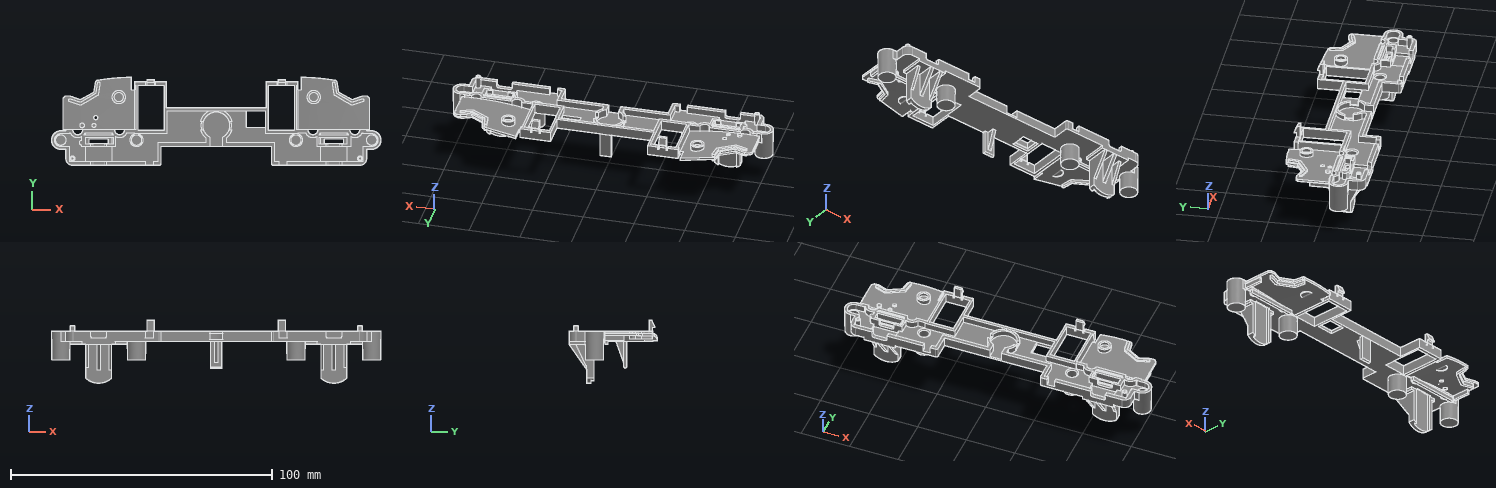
import cadquery as cq

length = 126.14
front_y = -16.91
back_y = 16.91
wall_top = 4.0
floor_top = 1.33
clip_top = 8.2
height = 24.15
tongue_bottom = clip_top - height

beam_front = -9.7
beam_back = 5.2
beam_front_wall = 1.5
beam_back_wall = 1.2

ring_y = -1.6
ring_outer_r = 6.2
ring_inner_r = 5.15
ring_back_top = 3.2
ring_recess_top = 0.85
ring_kerb_r = 5.8
ring_kerb_top = 1.9
ring_gap = (-3.3, 0.0)
neck_half_width = 2.4
neck_wall = 1.6
neck_back = -5.9

beam_window_x = (11.55, 18.75)
beam_window_y = (-2.3, 3.9)

leg_width = 4.4
leg_y = (3.9, 5.25)
leg_bottom = -10.2
leg_tip = 0.5
leg_rib_width = 1.4
leg_rib_front = 1.0
leg_rib_bottom = -8.1

frame_x = (18.8, 31.2)
frame_back_x = (19.1, 31.2)
frame_y = (-4.7, 15.15)
frame_lean = 0.5
frame_window_x = (19.95, 29.9)
frame_window_y = (-3.35, 13.6)

clip_x = (23.65, 26.5)
clip_y = (13.75, 15.1)
clip_barb_y = 15.95
clip_barb_land = 0.3
clip_barb_z = 5.35
clip_tip_y = 14.8
slit_width = 0.5
slit_depth = 1.0

platform_x = (21.1, 57.6)
platform_back = -3.25
side_wall_inner = 1.25
side_wall_outer = 1.55
front_wall = 1.55
back_wall = 1.2
inner_corner = 0.8
outer_corner = 2.7

boss_y = -7.2
boss_r = 3.6
boss_taper = 0.7
boss_bottom = -7.1
end_boss_x = length / 2 - boss_r
end_pocket_r = 2.45
inner_boss_x = 30.5
screw_hole_r = 2.0
screw_hole_bottom = -5.0
screw_hole_mouth_r = 2.5

pin_x = 55.0
pin_y = -14.25
pin_r = 0.95
pin_top = 6.25
pin_chamfer = 0.3

scallop_x = (37.0, 53.0)
scallop_r = 1.85
scallop_wall = 1.2

tongue_x = 45.0
recess_width = 10.1
recess_floor = 0.1
skirt_width = 12.8
skirt_bottom = -1.1
rail_x = (34.0, 56.0)
rail_y = (-3.25, -2.0)
rail_top = 0.5
socket_width = 13.0
socket_y = (-9.75, -5.2)
socket_pocket_width = 10.2
socket_pocket_y = (-8.75, -6.2)
socket_ledge_x = (39.25, 40.1)
socket_ledge_top = 3.6
socket_bridge_top = 3.5
socket_slot_width = 7.3
socket_slot_y = (-8.45, -6.8)
notch_width = 6.1
notch_corner = 0.9
small_notch_x = (24.1, 27.1)

tongue_width = 10.0
tongue_y = (-10.15, -7.3)
tongue_side_bottom = -14.0
gusset_bottom = -10.8
gusset_width = 1.4
side_gusset_width = 1.1
outer_gusset_front = -14.3
outer_gusset_bottom = -9.9

wing_x = (31.0, 58.7)
wing_bend_x = 46.0
wing_bend_drop = 0.1
wing_high = 3.15
wing_low = 1.2
wing_low_underside = 0.0
wing_thickness = 0.9
wing_skirt_back = 4.2
wing_skirt_bottom = 0.5
wing_skirt_wall = 1.0
wing_skirt_inset = 0.3
wing_step = (32.45, 12.0)
wing_back_arc_middle = (39.5, 16.5)
wing_back_arc_end = (45.6, 15.7)
wing_notch = [(46.2, 15.2), (46.9, 11.1), (52.0, 8.3), (56.0, 9.7), (57.8, 9.7)]
wing_outer_corner_y = 8.8
wing_rib_path = [(56.0, 8.05), (51.9, 6.7), (45.55, 10.4), (44.95, 14.5)]
wing_rib_width = 1.05
wing_rib_z = (1.0, 3.8)
wing_ring_x = 37.3
wing_ring_y = 9.25
wing_ring_r = 2.55
wing_ring_hole_r = 1.75
wing_ring_floor = 2.6

through_hole_centre = (-46.1, 1.4)
blind_hole_centre = (-46.8, -1.6)
small_hole_r = 0.75
blind_hole_depth = 0.5
nub_centre = (-51.3, -1.6)
nub_r = 0.9
nub_top = 3.8
socket_nub_centre = (-51.5, -8.2)

EPS = 0.01
CLEAR = 1.0


def box(x_range, y_range, z_range):
    """Axis-aligned block between three pairs of limits."""
    return (
        cq.Workplane("XY")
        .box(
            x_range[1] - x_range[0],
            y_range[1] - y_range[0],
            z_range[1] - z_range[0],
            centered=False,
        )
        .translate((x_range[0], y_range[0], z_range[0]))
    )


def cylinder(centre, radius, z_range):
    """Upright cylinder between two heights."""
    return (
        cq.Workplane("XY", origin=(centre[0], centre[1], z_range[0]))
        .circle(radius)
        .extrude(z_range[1] - z_range[0])
    )


def span(centre, width):
    """Pair of limits that are symmetric about a centre."""
    return (centre - width / 2, centre + width / 2)


def side_profile(points, x_range):
    """Outline in Y and Z, extruded along X."""
    return (
        cq.Workplane("YZ", origin=(x_range[0], 0, 0))
        .polyline(points)
        .close()
        .extrude(x_range[1] - x_range[0])
    )


def both_sides(shape):
    """The shape and its mirror image across X = 0."""
    return shape.union(shape.mirror("YZ"))


def beam():
    """Half of the central trough, on the +X side."""
    x_range = (0, platform_x[0] + side_wall_inner)
    back_x = (0, frame_x[0] + EPS)
    body = box(x_range, (beam_front, frame_y[0]), (0, floor_top))
    body = body.union(box(back_x, (frame_y[0], beam_back), (0, floor_top)))
    body = body.union(box(x_range, (beam_front, beam_front + beam_front_wall), (0, wall_top)))
    return body.union(box(back_x, (beam_back - beam_back_wall, beam_back), (0, wall_top)))


def add_locating_ring(part):
    """Broken ring with a sunken floor and a neck open to the front."""
    centre = (0, ring_y)
    reach = (-ring_outer_r - CLEAR, ring_outer_r + CLEAR)
    back_arc = cylinder(centre, ring_outer_r, (0, ring_back_top))
    back_arc = back_arc.intersect(box(reach, (ring_gap[1], beam_back), (0, wall_top)))
    front_arc = cylinder(centre, ring_outer_r, (0, wall_top))
    front_arc = front_arc.intersect(box(reach, (beam_front, ring_gap[0]), (0, wall_top)))
    neck_half = neck_half_width + neck_wall
    neck = box((-neck_half, neck_half), (beam_front, neck_back), (0, wall_top))
    part = part.union(back_arc).union(front_arc).union(neck)
    part = part.union(cylinder(centre, ring_kerb_r, (0, ring_kerb_top)))
    part = part.cut(cylinder(centre, ring_inner_r, (ring_recess_top, clip_top)))
    neck_gap = box(
        (-neck_half_width, neck_half_width), (beam_front - CLEAR, ring_y), (ring_recess_top, clip_top)
    )
    return part.cut(neck_gap)


def hanging_leg():
    """Leg below the beam, with a pointed tip and a sloping rib in front."""
    front, back = leg_y
    middle = (front + back) / 2
    tip_start = leg_bottom + leg_tip
    outline = [(front, 0), (back, 0), (back, tip_start), (middle, leg_bottom), (front, tip_start)]
    leg = side_profile(outline, span(0, leg_width))
    rib = [(leg_rib_front, 0), (front + EPS, 0), (front + EPS, leg_rib_bottom)]
    return leg.union(side_profile(rib, span(0, leg_rib_width)))


def frame():
    """Rectangular frame, leaning in above the wing, with its snap clip."""
    body = box(frame_x, (frame_y[0], beam_back), (0, wall_top))
    body = body.union(box(frame_back_x, (beam_back - EPS, frame_y[1]), (0, wall_top)))
    lean = [
        (frame_x[1], wing_low),
        (frame_x[1] - frame_lean, wall_top),
        (frame_x[1], wall_top),
    ]
    lean_length = frame_window_y[1] - platform_back
    leaning_face = cq.Workplane("XZ", origin=(0, frame_window_y[1], 0)).polyline(lean).close()
    body = body.cut(leaning_face.extrude(lean_length))
    slit_y = (clip_y[0] - CLEAR, frame_y[1] + CLEAR)
    slit_z = (wall_top - slit_depth, clip_top)
    for slit_start in (clip_x[0] - slit_width, clip_x[1]):
        slit_x = (slit_start, slit_start + slit_width)
        body = body.cut(box(slit_x, slit_y, slit_z))
    clip = [
        (clip_y[0], 0),
        (clip_y[1], 0),
        (clip_y[1], clip_barb_z),
        (clip_barb_y, clip_barb_z),
        (clip_barb_y, clip_barb_z + clip_barb_land),
        (clip_tip_y, clip_top),
        (clip_y[0], clip_top),
    ]
    return body.union(side_profile(clip, clip_x))


def screw_boss(x, top):
    """Boss that narrows slightly downwards."""
    sketch = cq.Workplane("XY", origin=(x, boss_y, top)).circle(boss_r)
    return sketch.extrude(boss_bottom - top, taper=boss_taper)


def platform_tray():
    """Walled tray with a screw boss at its outer end, still without its socket."""
    inner_x, outer_x = platform_x
    y_range = (front_y, platform_back)
    tray = box(platform_x, y_range, (0, wall_top))
    tray = tray.edges("|Z and <X and <Y").fillet(inner_corner)
    tray = tray.edges("|Z and >X and <Y").fillet(outer_corner)
    cavity = box(
        (inner_x + side_wall_inner, outer_x - side_wall_outer),
        (front_y + front_wall, platform_back - back_wall),
        (floor_top, clip_top),
    )
    beam_opening = box(
        (inner_x - CLEAR, inner_x + side_wall_inner + EPS),
        (beam_front + beam_front_wall, platform_back + CLEAR),
        (floor_top, clip_top),
    )
    boss = screw_boss(end_boss_x, wall_top)
    shoulder = box((outer_x - side_wall_outer, end_boss_x), span(boss_y, 2 * boss_r), (0, wall_top))
    pocket = cylinder((end_boss_x, boss_y), end_pocket_r, (floor_top, clip_top))
    channel = box(
        (outer_x - 2 * side_wall_outer, end_boss_x),
        span(boss_y, 2 * end_pocket_r),
        (floor_top, clip_top),
    )
    tray = tray.cut(cavity).cut(beam_opening).union(boss).union(shoulder)
    return tray.cut(pocket).cut(channel)


def add_inner_boss(tray):
    """Screw boss below the tray floor and the screw holes of both bosses."""
    tray = tray.union(screw_boss(inner_boss_x, floor_top))
    for x in (inner_boss_x, end_boss_x):
        tray = tray.cut(cylinder((x, boss_y), screw_hole_r, (screw_hole_bottom, clip_top)))
    mouth = cq.Solid.makeCone(
        screw_hole_r,
        screw_hole_mouth_r,
        screw_hole_mouth_r - screw_hole_r,
        pnt=cq.Vector(inner_boss_x, boss_y, floor_top - screw_hole_mouth_r + screw_hole_r),
    )
    return tray.cut(cq.Workplane(mouth))


def add_skirt_and_recess(tray):
    """Sunken floor in front of the socket, its deeper underside and the rear rail."""
    recess_y = (front_y + front_wall, socket_y[0])
    skirt = box(span(tongue_x, skirt_width), (front_y, tongue_y[1]), (skirt_bottom, EPS))
    rail = box(rail_x, rail_y, (skirt_bottom, rail_top))
    tray = tray.union(skirt).union(rail)
    return tray.cut(box(span(tongue_x, recess_width), recess_y, (recess_floor, clip_top)))


def half_rounds(radius, z_range):
    """Half cylinders in front of the back wall, one at each scallop."""
    front_half = box(platform_x, (front_y, platform_back), z_range)
    pair = cylinder((scallop_x[0], platform_back), radius, z_range)
    pair = pair.union(cylinder((scallop_x[1], platform_back), radius, z_range))
    return pair.intersect(front_half)


def notch(y_range, x_range, bottom):
    """Opening in the top of a wall, with rounded lower corners."""
    cutter = box(x_range, y_range, (bottom, clip_top))
    return cutter.edges("|Y and <Z").fillet(notch_corner)


def add_socket(tray):
    """Walled socket whose slot runs right through and hollows the back of the tongue."""
    bridge_y = (socket_y[1] - EPS, platform_back - back_wall + EPS)
    tray = tray.union(box(span(tongue_x, socket_width), socket_y, (0, wall_top)))
    tray = tray.union(box(span(tongue_x, socket_pocket_width), bridge_y, (0, socket_bridge_top)))
    pocket = box(
        span(tongue_x, socket_pocket_width), socket_pocket_y, (floor_top, clip_top)
    )
    slot = box(span(tongue_x, socket_slot_width), socket_slot_y, (tongue_bottom - CLEAR, clip_top))
    socket_notch = notch(
        (socket_y[0] - EPS, socket_pocket_y[0] + EPS), span(tongue_x, notch_width), floor_top
    )
    ledge = box(socket_ledge_x, socket_pocket_y, (socket_ledge_top, clip_top))
    return tray.cut(pocket).cut(ledge).cut(slot).cut(socket_notch)


def cut_front_notches(tray):
    """Two openings in the front wall."""
    y_range = (front_y - CLEAR, front_y + front_wall + EPS)
    tray = tray.cut(notch(y_range, span(tongue_x, notch_width), floor_top))
    return tray.cut(box(small_notch_x, y_range, (floor_top, clip_top)))


def pin():
    """Locating pin at the outer front corner."""
    return cylinder((pin_x, pin_y), pin_r, (0, pin_top)).faces(">Z").chamfer(pin_chamfer)


def tongue():
    """Hanging tongue with a rounded end and three gussets."""
    left, right = span(tongue_x, tongue_width)
    depth = tongue_y[1] - tongue_y[0]
    blade = (
        cq.Workplane("XZ", origin=(0, tongue_y[1], 0))
        .moveTo(left, 0)
        .lineTo(left, tongue_side_bottom)
        .threePointArc((tongue_x, tongue_bottom), (right, tongue_side_bottom))
        .lineTo(right, 0)
        .close()
        .extrude(depth)
    )

    def gusset(front, bottom, x_range):
        root = tongue_y[0] + EPS
        return side_profile(
            [(root, 0), (front, 0), (front, skirt_bottom), (root, bottom)], x_range
        )

    ribs = [
        gusset(front_y, gusset_bottom, (left, left + side_gusset_width)),
        gusset(front_y, gusset_bottom, span(tongue_x, gusset_width)),
        gusset(outer_gusset_front, outer_gusset_bottom, (right - side_gusset_width, right)),
    ]
    for rib in ribs:
        blade = blade.union(rib)
    return blade.cut(box((left, right), (front_y, tongue_y[1]), (recess_floor, clip_top)))


def wing_outline():
    """Plan shape of the wing as a full-height prism."""
    inner_x, outer_x = wing_x
    outline = (
        cq.Workplane("XY")
        .moveTo(inner_x, platform_back)
        .lineTo(inner_x, wing_step[1])
        .lineTo(*wing_step)
        .lineTo(wing_step[0], back_y)
        .threePointArc(wing_back_arc_middle, wing_back_arc_end)
    )
    for point in wing_notch:
        outline = outline.lineTo(*point)
    return (
        outline.lineTo(outer_x, wing_outer_corner_y)
        .lineTo(outer_x, platform_back)
        .close()
        .extrude(wall_top)
    )


def wing_sheet():
    """Thin sheet, nearly level at its outer part and curving down towards the frame."""
    inner_x, outer_x = wing_x
    underside = wing_high - wing_thickness
    return (
        cq.Workplane("XZ", origin=(0, back_y + CLEAR, 0))
        .moveTo(outer_x, wing_high)
        .spline([(wing_bend_x, wing_high - wing_bend_drop), (inner_x, wing_low)], includeCurrent=True)
        .lineTo(inner_x, wing_low_underside)
        .spline([(wing_bend_x, underside - wing_bend_drop), (outer_x, underside)], includeCurrent=True)
        .close()
        .extrude(2 * (back_y + CLEAR))
    )


def wing():
    """Wing with its stiffening rib, ring and outer skirt."""
    sheet = wing_sheet().intersect(wing_outline())
    rib_height = wing_rib_z[1] - wing_rib_z[0]
    rib = (
        cq.Workplane("XY", origin=(0, 0, wing_rib_z[0]))
        .polyline(wing_rib_path)
        .offset2D(wing_rib_width / 2)
        .extrude(rib_height)
    )
    skirt = box(
        (wing_x[1] - wing_skirt_inset - wing_skirt_wall, wing_x[1] - wing_skirt_inset),
        (platform_back, wing_skirt_back),
        (wing_skirt_bottom, wing_high - EPS),
    )
    ring_centre = (wing_ring_x, wing_ring_y)
    ring = cylinder(ring_centre, wing_ring_r, (wing_low, wall_top))
    ring_hole = cylinder(ring_centre, wing_ring_hole_r, (wing_ring_floor, clip_top))
    return sheet.union(rib).union(skirt).union(ring).cut(ring_hole)


def end_platform():
    """Everything at the +X end of the beam."""
    tray = platform_tray()
    tray = add_skirt_and_recess(tray)
    tray = tray.union(half_rounds(scallop_r + scallop_wall, (0, wall_top)))
    tray = add_socket(tray.union(tongue()))
    tray = cut_front_notches(tray)
    tray = tray.union(frame()).union(wing()).union(pin())
    tray = add_inner_boss(tray)
    tray = tray.cut(half_rounds(scallop_r, (boss_bottom, clip_top)))
    return tray.cut(box(frame_window_x, frame_window_y, (-CLEAR, clip_top)))


def add_small_marks(part):
    """Nubs and holes found only at the -X end."""
    wing_bottom = wing_high - wing_thickness
    part = part.union(cylinder(nub_centre, nub_r, (wing_bottom, nub_top)))
    part = part.union(cylinder(socket_nub_centre, nub_r, (0, wall_top)))
    part = part.cut(cylinder(through_hole_centre, small_hole_r, (-CLEAR, clip_top)))
    return part.cut(cylinder(blind_hole_centre, small_hole_r, (wing_high - blind_hole_depth, clip_top)))


result = both_sides(beam().union(end_platform()))
result = add_locating_ring(result).union(hanging_leg())
result = result.cut(box(beam_window_x, beam_window_y, (-CLEAR, clip_top)))
result = add_small_marks(result)